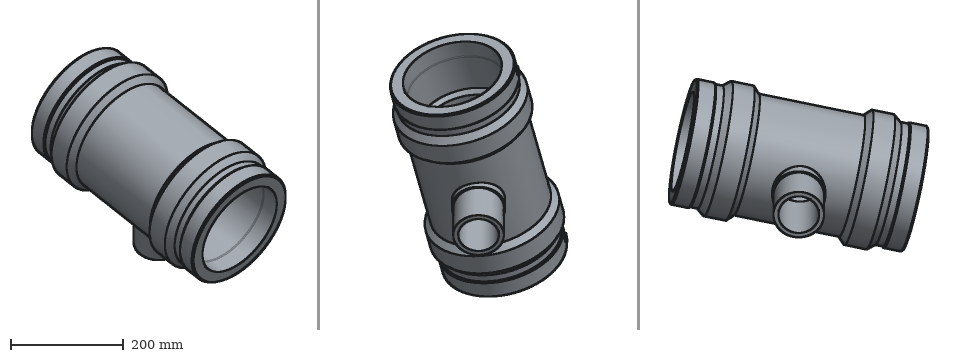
import cadquery as cq

length = 422.0
overall_height = 322.5
half_length = length / 2
pipe_dia = 220.5
neck_dia = 223.2
rim_dia = 228.0
bulge_dia = 245.0

rim_chamfer = 2.5
rim_end = 33.0
neck_start = 35.5
bulge_cone_start = 49.5
bulge_start = 63.5
bulge_end = 103.0
pipe_start = 115.0

socket_dia = 180.0
socket_step = 0.5
inner_socket_dia = socket_dia - 2 * socket_step
bore_dia = 162.0
bore_cone_start = 106.8

branch_dia = 90.0
branch_bore_dia = 72.0
branch_bottom = bulge_dia / 2 - overall_height
collar_dia = 94.5
collar_bottom = -121.5

terminal_dia = 16.0
terminal_tip = 116.0
terminal_root = 105.5
terminal_inset = 17.7


def turned(end_profile):
    """Revolve (distance from end, diameter) stations, mirrored about mid length, around X."""
    left = [(inset - half_length, dia / 2) for inset, dia in end_profile]
    right = [(-x, radius) for x, radius in reversed(left)]
    outline = [(-half_length, 0)] + left + right + [(half_length, 0)]
    return cq.Workplane("XY").polyline(outline).close().revolve(360, (0, 0), (1, 0))


def downward_cylinder(diameter, bottom):
    """Vertical cylinder from the main axis down to the given height."""
    return cq.Workplane("XY").circle(diameter / 2).extrude(bottom)


def terminal(x):
    """Short stub rooted in the rim wall and pointing toward +Y."""
    plane = cq.Workplane("XZ").workplane(offset=-terminal_root)
    return plane.center(x, 0).circle(terminal_dia / 2).extrude(terminal_root - terminal_tip)


outer_body = turned([
    (0, neck_dia),
    (rim_chamfer, rim_dia),
    (rim_end, rim_dia),
    (neck_start, neck_dia),
    (bulge_cone_start, neck_dia),
    (bulge_start, bulge_dia),
    (bulge_end, bulge_dia),
    (pipe_start, pipe_dia),
])

bore = turned([
    (0, socket_dia),
    (rim_end, socket_dia),
    (neck_start, inner_socket_dia),
    (bore_cone_start, inner_socket_dia),
    (pipe_start, bore_dia),
])

result = outer_body
result = result.union(downward_cylinder(collar_dia, collar_bottom))
result = result.union(downward_cylinder(branch_dia, branch_bottom))
for side in (-1, 1):
    result = result.union(terminal(side * (half_length - terminal_inset)))
result = result.cut(bore)
result = result.cut(downward_cylinder(branch_bore_dia, branch_bottom))